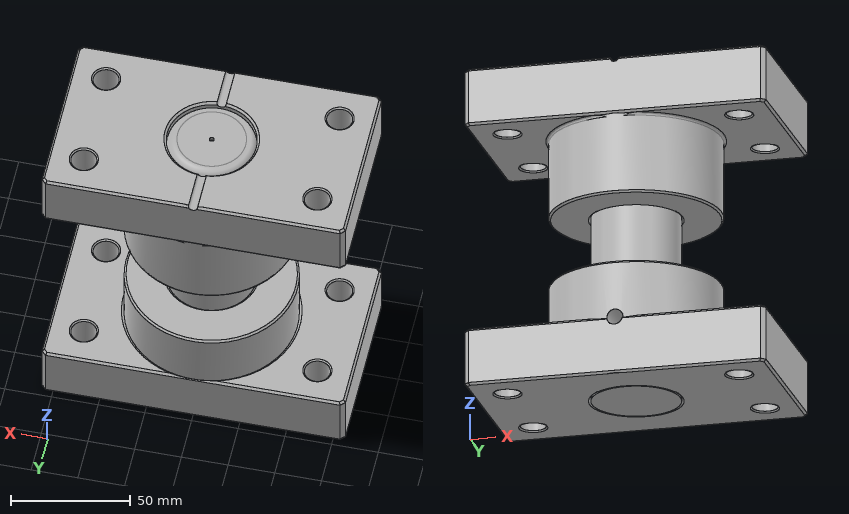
import cadquery as cq

total_height = 140.1
plate_thickness = 25.0
lower_collar_height = 25.0
upper_collar_height = 35.0

plate_length = 130.0
plate_width = 75.0
corner_chamfer = 2.0
plate_edge_chamfer = 1.0
bolt_spacing_x = 100.0
bolt_spacing_y = 44.0
bolt_hole_diameter = 10.9
bolt_hole_chamfer = 0.63

collar_diameter = 73.4
collar_radius = collar_diameter / 2
collar_edge_chamfer = 0.8
root_fillet = 1.1
root_groove = 1.1

pin_diameter = 38.1
pin_recess = 0.1
pin_top_rounding = 4.5
center_hole_diameter = 1.8
center_hole_depth = center_hole_diameter
bore_chamfer = 1.0

cross_hole_diameter = 6.9
vent_groove_radius = 2.0


def cylinder(diameter, height):
    """Upright cylinder standing on z = 0."""
    return cq.Workplane("XY").circle(diameter / 2).extrude(height)


def spun(outline):
    """Revolve a closed XZ outline about the Z axis."""
    return outline.close().revolve(360, (0, 0), (0, 1))


def chamfered_bore(diameter, chamfer, height):
    """Cutter for a through hole from z = 0 to height, countersunk at both ends."""
    radius = diameter / 2
    return spun(
        cq.Workplane("XZ")
        .lineTo(radius + chamfer, 0)
        .lineTo(radius, chamfer)
        .lineTo(radius, height - chamfer)
        .lineTo(radius + chamfer, height)
        .lineTo(0, height)
    )


def make_plate():
    """Chamfered plate with four bolt holes, lying on z = 0."""
    bolt_hole = chamfered_bore(bolt_hole_diameter, bolt_hole_chamfer, plate_thickness).val()
    bolt_holes = (
        cq.Workplane("XY")
        .rect(bolt_spacing_x, bolt_spacing_y, forConstruction=True)
        .vertices()
        .eachpoint(lambda place: bolt_hole.moved(place))
    )
    return (
        cq.Workplane("XY")
        .box(plate_length, plate_width, plate_thickness, centered=(True, True, False))
        .edges("|Z")
        .chamfer(corner_chamfer)
        .faces("<Z or >Z")
        .chamfer(plate_edge_chamfer)
        .cut(bolt_holes)
    )


def make_flange(collar_height):
    """Plate with a round collar on its inner face and the pin bore through both."""
    flange_height = plate_thickness + collar_height
    collar = cylinder(collar_diameter, flange_height).faces(">Z").chamfer(collar_edge_chamfer)
    pin_bore = chamfered_bore(pin_diameter, bore_chamfer, flange_height)
    return make_plate().union(collar).cut(pin_bore)


def make_root_groove():
    """V-shaped ring cut into the plate face around the collar."""
    return spun(
        cq.Workplane("XZ")
        .moveTo(collar_radius, plate_thickness - root_groove)
        .lineTo(collar_radius + root_groove, plate_thickness)
        .lineTo(collar_radius, plate_thickness)
    )


def make_root_fillet():
    """Concave ring joining collar and plate, trimmed to the flat of the plate face."""
    ring = spun(
        cq.Workplane("XZ")
        .moveTo(collar_radius, plate_thickness)
        .lineTo(collar_radius + root_fillet, plate_thickness)
        .radiusArc((collar_radius, plate_thickness + root_fillet), root_fillet)
    )
    face_width = plate_width - 2 * plate_edge_chamfer
    return ring.intersect(cq.Workplane("XY").box(plate_length, face_width, total_height))


def make_lower_flange():
    cross_hole = (
        cq.Workplane("XZ")
        .center(0, plate_thickness)
        .circle(cross_hole_diameter / 2)
        .extrude(plate_width / 2)
    )
    return make_flange(lower_collar_height).cut(make_root_groove()).cut(cross_hole)


def make_upper_flange():
    """Flange hung upside down from the top, with its root fillet and vent groove."""
    flange = make_flange(upper_collar_height).union(make_root_fillet())
    vent_groove = (
        cq.Workplane("XZ")
        .moveTo(-vent_groove_radius, 0)
        .threePointArc((0, vent_groove_radius), (vent_groove_radius, 0))
        .lineTo(vent_groove_radius, -vent_groove_radius)
        .lineTo(-vent_groove_radius, -vent_groove_radius)
        .close()
        .extrude(plate_width / 2, both=True)
    )
    upright = flange.cut(vent_groove)
    return upright.rotate((0, 0, 0), (1, 0, 0), 180).translate((0, 0, total_height))


def make_pin():
    """Straight pin with a rounded top and a small center hole."""
    return (
        cylinder(pin_diameter, total_height - pin_recess)
        .faces(">Z")
        .edges()
        .fillet(pin_top_rounding)
        .faces(">Z")
        .workplane()
        .hole(center_hole_diameter, center_hole_depth)
    )


lower_flange = make_lower_flange()
upper_flange = make_upper_flange()
pin = make_pin()
result = cq.Compound.makeCompound([lower_flange.val(), upper_flange.val(), pin.val()])